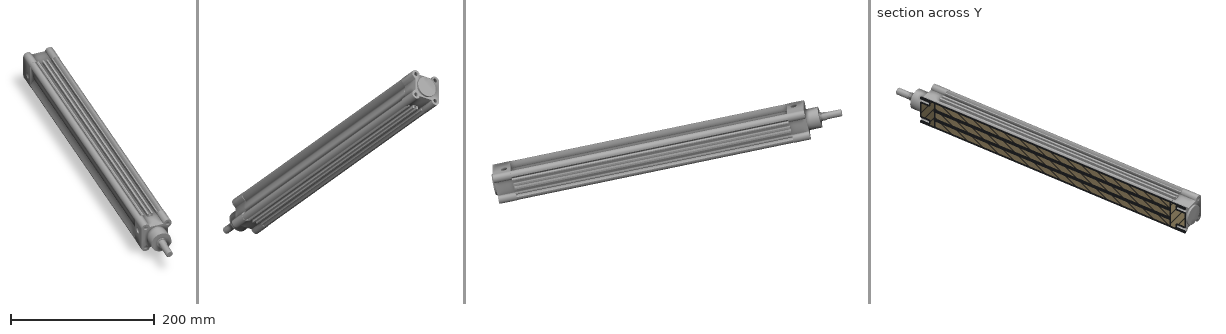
import cadquery as cq
import math

total_length = 496.0
rear_spigot_length = 3.0
rear_cap_length = 25.5
front_cap_start = 423.0
front_cap_length = 24.0
neck_length = 18.0
collar_length = 1.6
shank_length = 8.0
rear_cap_end = rear_spigot_length + rear_cap_length
front_cap_end = front_cap_start + front_cap_length
neck_end = front_cap_end + neck_length
collar_end = neck_end + collar_length
thread_start = collar_end + shank_length

cap_half = 22.5
bolt_offset = 16.25
cap_lobe_radius = cap_half - bolt_offset
cap_waist = 17.1
bolt_hole_diameter = 5.8
bolt_hole_depth = 15.0
spigot_diameter = 29.6

port_diameter = 9.0
port_depth = 9.0
port_rise = 5.0
rear_port_x = 19.2
front_port_x = 432.5

barrel_half = 22.3
barrel_corner_radius = 6.5
barrel_corner = barrel_half - barrel_corner_radius
barrel_bulge_radius = 17.9
barrel_bulge_half = 8.2
barrel_floor = 17.0
ridge_top = 21.7
corner_ridge_outer = 12.5
corner_ridge_inner = 9.7
ridge_chamfer = 1.3
center_ridge_outer = 4.2
center_ridge_inner = 1.8
center_slot_floor = 17.8
center_slot_chamfer = 1.0

collar_diameter = 14.0
shank_diameter = 11.6
wrench_flat_width = 10.0
wrench_flat_setback = 1.0
thread_diameter = 10.0
shank_chamfer = (shank_diameter - thread_diameter) / 2
thread_chamfer = 1.0


def section_plane(x):
    """YZ plane at the given X: local x is +Y, local y is +Z."""
    return cq.Workplane("YZ", origin=(x, 0, 0))


def cylinder(diameter, start, end):
    return section_plane(start).circle(diameter / 2).extrude(end - start)


def cap_block(start, length):
    """Block with a flat -Y side, waisted on the other three sides, with four corner lobes."""
    diagonal = cap_lobe_radius * math.sqrt(0.5)
    far = bolt_offset + diagonal
    near = bolt_offset - diagonal
    waist_end = near - (far - cap_waist)
    lobe_foot = bolt_offset - math.sqrt(cap_lobe_radius**2 - (cap_waist - bolt_offset) ** 2)
    upper_half = (
        section_plane(start)
        .moveTo(-cap_half, 0)
        .lineTo(-cap_half, bolt_offset)
        .threePointArc((-bolt_offset, cap_half), (-lobe_foot, cap_waist))
        .lineTo(lobe_foot, cap_waist)
        .threePointArc((far, far), (far, near))
        .lineTo(cap_waist, waist_end)
        .lineTo(cap_waist, 0)
        .close()
        .extrude(length)
    )
    return upper_half.union(upper_half.mirror("XY")).clean()


def bolt_holes(face_x, depth):
    return (
        section_plane(face_x)
        .rect(2 * bolt_offset, 2 * bolt_offset, forConstruction=True)
        .vertices()
        .circle(bolt_hole_diameter / 2)
        .extrude(depth)
    )


def port(x, z):
    return (
        cq.Workplane("XZ", origin=(x, -cap_half, z))
        .circle(port_diameter / 2)
        .extrude(-port_depth)
    )


rear_cap = (
    cap_block(rear_spigot_length, rear_cap_length)
    .union(cylinder(spigot_diameter, 0, rear_spigot_length))
    .cut(bolt_holes(rear_spigot_length, bolt_hole_depth))
    .cut(port(rear_port_x, -port_rise))
)

front_cap = (
    cap_block(front_cap_start, front_cap_length)
    .union(cylinder(spigot_diameter, front_cap_end, neck_end))
    .cut(bolt_holes(front_cap_end, -bolt_hole_depth))
    .cut(port(front_port_x, port_rise))
)


def barrel_quarter():
    """Extruded quarter of the barrel section in +Y +Z."""
    groove_bottom = barrel_half - (barrel_corner - corner_ridge_outer)
    bulge_y = math.sqrt(barrel_bulge_radius**2 - barrel_bulge_half**2)
    middle = barrel_bulge_half / 2
    bulge_middle_y = math.sqrt(barrel_bulge_radius**2 - middle**2)
    corner_middle = barrel_corner + barrel_corner_radius * math.sqrt(0.5)
    return (
        section_plane(rear_cap_end)
        .lineTo(barrel_bulge_radius, 0)
        .threePointArc((bulge_middle_y, middle), (bulge_y, barrel_bulge_half))
        .lineTo(barrel_half, barrel_corner)
        .threePointArc((corner_middle, corner_middle), (barrel_corner, barrel_half))
        .lineTo(corner_ridge_outer, groove_bottom)
        .lineTo(corner_ridge_outer, ridge_top - ridge_chamfer)
        .lineTo(corner_ridge_outer - ridge_chamfer, ridge_top)
        .lineTo(corner_ridge_inner, ridge_top)
        .lineTo(corner_ridge_inner, barrel_floor)
        .lineTo(center_ridge_outer, barrel_floor)
        .lineTo(center_ridge_outer, ridge_top)
        .lineTo(center_ridge_inner, ridge_top)
        .lineTo(center_ridge_inner, center_slot_floor + center_slot_chamfer)
        .lineTo(center_ridge_inner - center_slot_chamfer, center_slot_floor)
        .lineTo(0, center_slot_floor)
        .close()
        .extrude(front_cap_start - rear_cap_end)
    )


barrel_side = barrel_quarter()
barrel_side = barrel_side.union(barrel_side.mirror("XY"))
barrel = barrel_side.union(barrel_side.mirror("XZ")).clean()

collar = cylinder(collar_diameter, neck_end, collar_end)
shank = cylinder(shank_diameter, collar_end, thread_start).faces(">X").chamfer(shank_chamfer)
flat_start = collar_end + wrench_flat_setback
wrench_slab = cq.Workplane("XY", origin=(flat_start, 0, 0)).box(
    thread_start - flat_start, wrench_flat_width, shank_diameter, centered=(False, True, True)
)
shank = cylinder(shank_diameter, collar_end, flat_start).union(shank.intersect(wrench_slab))
thread = cylinder(thread_diameter, thread_start, total_length).faces(">X").chamfer(thread_chamfer)
piston_rod = collar.union(shank).union(thread)

result = cq.Compound.makeCompound(
    [rear_cap.val(), barrel.val(), front_cap.val(), piston_rod.val()]
)